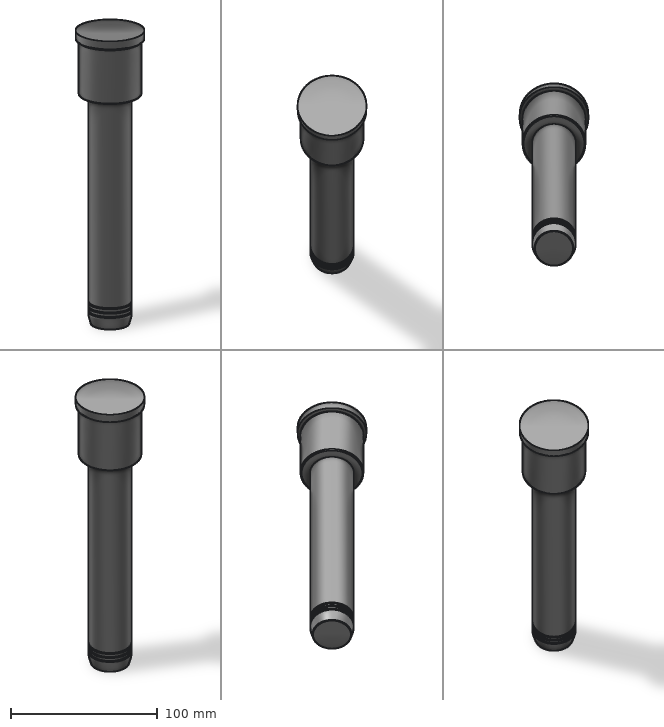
import cadquery as cq

total_length = 211.0

head_diameter = 47.0
head_height = 6.0

shoulder_diameter = 43.0
shoulder_end_depth = 46.2
shoulder_chamfer = 0.8
neck_height = 0.6

shaft_diameter = 30.0

lead_in_height = 7.5
tip_diameter = 26.5
lead_in_bulge = 0.2
tip_chamfer = 0.5

groove_count = 3
lowest_groove_height = 9.5
groove_pitch = 3.2
groove_radius = 0.5

head_radius = head_diameter / 2
shoulder_radius = shoulder_diameter / 2
neck_radius = shoulder_radius - shoulder_chamfer
shaft_radius = shaft_diameter / 2
tip_radius = tip_diameter / 2

head_bottom = total_length - head_height
neck_bottom = head_bottom - neck_height
shoulder_bottom = total_length - shoulder_end_depth


def pin_body():
    """Solid of revolution: lead-in, shaft, shoulder, neck and head."""
    lead_in_middle = ((tip_radius + shaft_radius) / 2 + lead_in_bulge, (tip_chamfer + lead_in_height) / 2)
    profile = (
        cq.Workplane("XZ")
        .lineTo(tip_radius - tip_chamfer, 0)
        .lineTo(tip_radius, tip_chamfer)
        .threePointArc(lead_in_middle, (shaft_radius, lead_in_height))
        .lineTo(shaft_radius, shoulder_bottom)
        .lineTo(neck_radius, shoulder_bottom)
        .lineTo(shoulder_radius, shoulder_bottom + shoulder_chamfer)
        .lineTo(shoulder_radius, neck_bottom - shoulder_chamfer)
        .lineTo(neck_radius, neck_bottom)
        .lineTo(neck_radius, head_bottom)
        .lineTo(head_radius, head_bottom)
        .lineTo(head_radius, total_length)
        .lineTo(0, total_length)
        .close()
    )
    return profile.revolve(360, (0, 0, 0), (0, 1, 0))


def oil_groove(height):
    """Ring of round section, centred on the shaft surface at the given height."""
    section = cq.Workplane("XZ").center(shaft_radius, height).circle(groove_radius)
    return section.revolve(360, (-shaft_radius, 0, 0), (-shaft_radius, 1, 0))


result = pin_body()
for index in range(groove_count):
    result = result.cut(oil_groove(lowest_groove_height + index * groove_pitch))